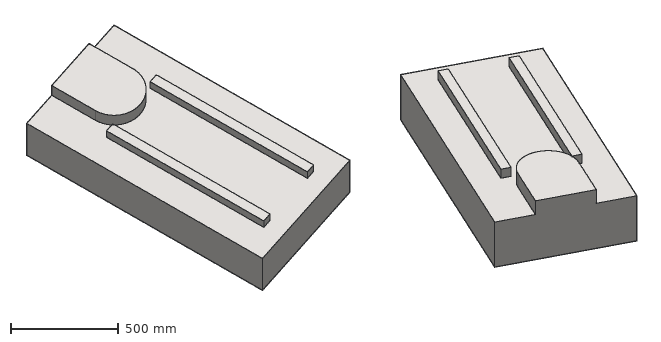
import cadquery as cq

length = 1350.0
width = 700.0
base_height = 250.0

boss_width = 300.0
boss_height = 75.0
boss_straight_length = 250.0
nose_radius = boss_width / 2

rail_size = 50.0
rail_length = 900.0
rail_start = 350.0
rail_offset = (boss_width + rail_size) / 2

end_x = -length / 2


def make_base():
    return cq.Workplane("XY").box(length, width, base_height, centered=(True, True, False))


def make_boss():
    nose_start_x = end_x + boss_straight_length
    return (
        cq.Workplane("XY", origin=(0, 0, base_height))
        .moveTo(end_x, -nose_radius)
        .lineTo(nose_start_x, -nose_radius)
        .threePointArc((nose_start_x + nose_radius, 0), (nose_start_x, nose_radius))
        .lineTo(end_x, nose_radius)
        .close()
        .extrude(boss_height)
    )


def make_rail(center_y):
    return (
        cq.Workplane("XY", origin=(end_x + rail_start, center_y, base_height))
        .box(rail_length, rail_size, rail_size, centered=(False, True, False))
    )


result = make_base().union(make_boss())
for side in (-1, 1):
    result = result.union(make_rail(side * rail_offset))